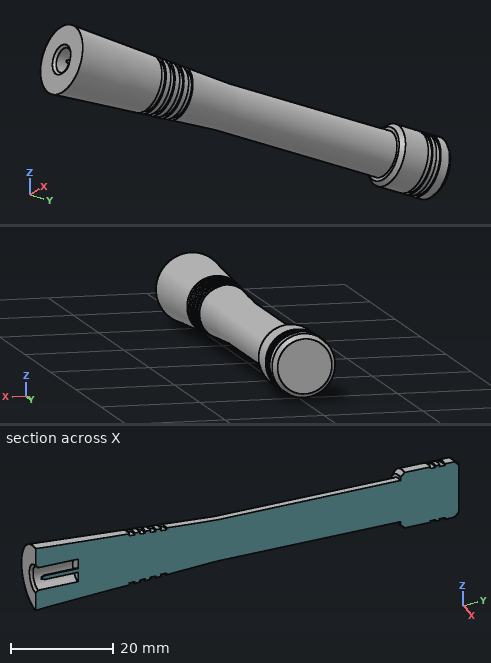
import cadquery as cq

length = 90.0

foot_diameter = 14.2
foot_length = 39.0
shaft_diameter = 9.5

foot_groove_count = 4
foot_groove_start = 20.0
foot_groove_pitch = 2.25
foot_groove_width = 1.1
foot_groove_depth = 0.45

head_diameter = 12.8
head_length = 12.4
head_chamfer = 0.9

head_groove_count = 2
head_groove_start = 3.0
head_groove_pitch = 2.0
head_groove_width = 1.1
head_groove_depth = 0.4

socket_diameter = 5.0
socket_depth = 9.0
socket_chamfer = 0.5
pin_diameter = 1.0
pin_recess = 1.3
pin_tip_diameter = 0.4
pin_tip_length = 0.7

cut_clearance = 0.9


def revolve_profile(points):
    """Revolve a closed (radius, y) outline around the Y axis."""
    return cq.Workplane("XY").polyline(points).close().revolve(360, (0, 0, 0), (0, 1, 0))


def ring_groove(start, end, start_radius, end_radius):
    """Ring cutter whose floor runs from start_radius to end_radius."""
    outer_radius = max(start_radius, end_radius) + cut_clearance
    return revolve_profile([
        (start_radius, start),
        (outer_radius, start),
        (outer_radius, end),
        (end_radius, end),
    ])


def foot_radius(y):
    """Outer radius of the flared foot at a given y."""
    return (foot_diameter + (shaft_diameter - foot_diameter) * y / foot_length) / 2


def make_body():
    head_radius = head_diameter / 2
    head_end_radius = head_radius - head_chamfer
    head_start = length - head_length
    return revolve_profile([
        (0, 0),
        (foot_diameter / 2, 0),
        (shaft_diameter / 2, foot_length),
        (shaft_diameter / 2, head_start),
        (head_end_radius, head_start),
        (head_radius, head_start + head_chamfer),
        (head_radius, length - head_chamfer),
        (head_end_radius, length),
        (0, length),
    ])


def cut_foot_grooves(body):
    """Grooves of constant depth that follow the taper of the foot."""
    for index in range(foot_groove_count):
        start = foot_groove_start + index * foot_groove_pitch
        end = start + foot_groove_width
        start_radius = foot_radius(start) - foot_groove_depth
        end_radius = foot_radius(end) - foot_groove_depth
        body = body.cut(ring_groove(start, end, start_radius, end_radius))
    return body


def cut_head_grooves(body):
    floor_radius = head_diameter / 2 - head_groove_depth
    for index in range(head_groove_count):
        end = length - head_groove_start - index * head_groove_pitch
        start = end - head_groove_width
        body = body.cut(ring_groove(start, end, floor_radius, floor_radius))
    return body


def cut_socket(body):
    """Blind socket with a chamfered mouth, leaving a taper-tipped pin on its floor."""
    socket_radius = socket_diameter / 2
    socket = revolve_profile([
        (0, 0),
        (socket_radius + socket_chamfer, 0),
        (socket_radius, socket_chamfer),
        (socket_radius, socket_depth),
        (0, socket_depth),
    ])
    pin = revolve_profile([
        (0, pin_recess),
        (pin_tip_diameter / 2, pin_recess),
        (pin_diameter / 2, pin_recess + pin_tip_length),
        (pin_diameter / 2, socket_depth),
        (0, socket_depth),
    ])
    return body.cut(socket.cut(pin))


result = make_body()
result = cut_foot_grooves(result)
result = cut_head_grooves(result)
result = cut_socket(result)